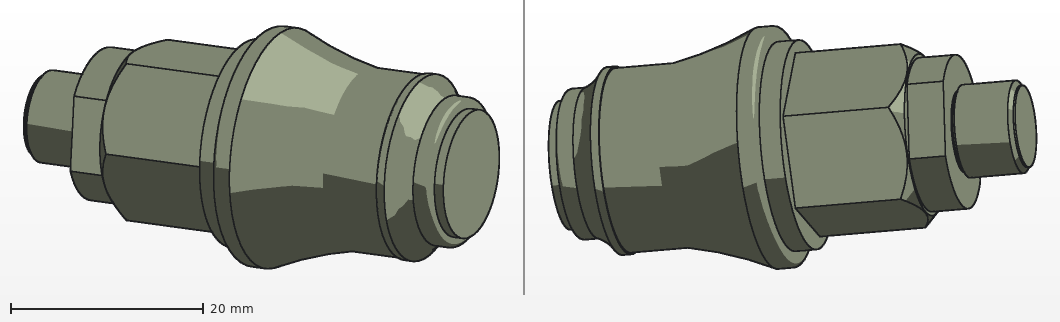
import cadquery as cq
import math


NECK_LENGTH = 0.2
THREAD_START = 0.65
THREAD_END = 6.4
RELIEF_START = 6.75
FLANGE_START = 6.9
HEX_START = 10.8
COLLAR_START = 23.5
SLEEVE_START = 25.75
FLARE_START = 27.75
GRIP_START = 37.1
BEAD_START = 43.35
BEAD_END = 44.25
NOSE_START = 46.65
NOSE_END = 48.57
TOTAL_LENGTH = 49.6

THREAD_DIAMETER = 9.73
THREAD_ROOT_DIAMETER = 8.57
FLANGE_DIAMETER = 16.1
COLLAR_DIAMETER = 21.9
SLEEVE_DIAMETER = 25.27
GRIP_DIAMETER = 19.3
BEAD_DIAMETER = 19.65
NOSE_DIAMETER = 15.8
TIP_DIAMETER = 13.5

FLANGE_ACROSS_FLATS = 14.0
FLANGE_FLATS_TILT = -6.4
HEX_ACROSS_FLATS = 17.0
HEX_CORNER_DIAMETER = HEX_ACROSS_FLATS / math.cos(math.radians(30))
HEX_CHAMFER_DIAMETER = 16.9
HEX_CHAMFER_ANGLE = 45.0

FLARE_RADIUS = 40.0
SHOULDER_RADIUS = 5.0
EDGE_RADIUS = 0.45


def cylinder(start, end, diameter):
    """Solid cylinder on the X axis."""
    return cq.Workplane("YZ", origin=(start, 0, 0)).circle(diameter / 2).extrude(end - start)


def thread_stub():
    """Plain threaded end, chamfered down to the root diameter at both ends."""
    crest = THREAD_DIAMETER / 2
    root = THREAD_ROOT_DIAMETER / 2
    outline = [
        (0, 0),
        (0, root),
        (NECK_LENGTH, root),
        (THREAD_START, crest),
        (THREAD_END, crest),
        (RELIEF_START, root),
        (FLANGE_START, root),
        (FLANGE_START, 0),
    ]
    return cq.Workplane("XY").polyline(outline).close().revolve(360, (0, 0, 0), (1, 0, 0))


def flange():
    """Round flange with two parallel flats, tilted slightly about the axis."""
    length = HEX_START - FLANGE_START
    flats = (
        cq.Workplane("XY")
        .box(length, FLANGE_ACROSS_FLATS, FLANGE_DIAMETER)
        .translate((FLANGE_START + length / 2, 0, 0))
        .rotate((0, 0, 0), (1, 0, 0), FLANGE_FLATS_TILT)
    )
    return cylinder(FLANGE_START, HEX_START, FLANGE_DIAMETER).intersect(flats)


def hexagon():
    """Hexagon with corners on +Y and -Y, its corners at the flange end cut by a cone."""
    prism = (
        cq.Workplane("YZ", origin=(HEX_START, 0, 0))
        .polygon(6, HEX_CORNER_DIAMETER)
        .extrude(COLLAR_START - HEX_START)
    )
    cone_small = HEX_CHAMFER_DIAMETER / 2
    cone_large = HEX_CORNER_DIAMETER / 2
    cone_end = HEX_START + (cone_large - cone_small) / math.tan(math.radians(HEX_CHAMFER_ANGLE))
    outline = [
        (HEX_START, 0),
        (HEX_START, cone_small),
        (cone_end, cone_large),
        (COLLAR_START, cone_large),
        (COLLAR_START, 0),
    ]
    envelope = cq.Workplane("XY").polyline(outline).close().revolve(360, (0, 0, 0), (1, 0, 0))
    return prism.intersect(envelope)


def hollow_arc_middle(start, end, radius):
    """Middle point of a profile arc that sags from its chord toward the axis."""
    run = end[0] - start[0]
    rise = end[1] - start[1]
    chord = math.hypot(run, rise)
    sag = radius - math.sqrt(radius**2 - (chord / 2) ** 2)
    middle_x = (start[0] + end[0]) / 2 + sag * rise / chord
    middle_radius = (start[1] + end[1]) / 2 - sag * run / chord
    return middle_x, middle_radius


def rounded_edge_middle(center_x, center_radius, direction):
    """Middle point of a quarter-round edge; direction is -1 toward -X, +1 toward +X."""
    offset = EDGE_RADIUS * math.sqrt(0.5)
    return center_x + direction * offset, center_radius + offset


def sleeve():
    """Turned release sleeve: rounded rim, hollow flare, grip, bead, shoulder, nose and tip."""
    rim = SLEEVE_DIAMETER / 2
    grip = GRIP_DIAMETER / 2
    bead = BEAD_DIAMETER / 2
    nose = NOSE_DIAMETER / 2
    tip = TIP_DIAMETER / 2
    rim_round_end = SLEEVE_START + EDGE_RADIUS
    nose_round_start = NOSE_END - EDGE_RADIUS
    flare_start = (FLARE_START, rim)
    flare_end = (GRIP_START, grip)
    shoulder_start = (BEAD_END, bead)
    shoulder_end = (NOSE_START, nose)
    profile = (
        cq.Workplane("XY")
        .moveTo(SLEEVE_START, 0)
        .lineTo(SLEEVE_START, rim - EDGE_RADIUS)
        .threePointArc(rounded_edge_middle(rim_round_end, rim - EDGE_RADIUS, -1), (rim_round_end, rim))
        .lineTo(*flare_start)
        .threePointArc(hollow_arc_middle(flare_start, flare_end, FLARE_RADIUS), flare_end)
        .lineTo(BEAD_START, grip)
        .lineTo(BEAD_START, bead)
        .lineTo(*shoulder_start)
        .threePointArc(hollow_arc_middle(shoulder_start, shoulder_end, SHOULDER_RADIUS), shoulder_end)
        .lineTo(nose_round_start, nose)
        .threePointArc(
            rounded_edge_middle(nose_round_start, nose - EDGE_RADIUS, 1), (NOSE_END, nose - EDGE_RADIUS)
        )
        .lineTo(NOSE_END, tip)
        .lineTo(TOTAL_LENGTH, tip)
        .lineTo(TOTAL_LENGTH, 0)
        .close()
    )
    return profile.revolve(360, (0, 0, 0), (1, 0, 0))


collar = cylinder(COLLAR_START, SLEEVE_START, COLLAR_DIAMETER)

result = thread_stub().union(flange()).union(hexagon()).union(collar).union(sleeve())